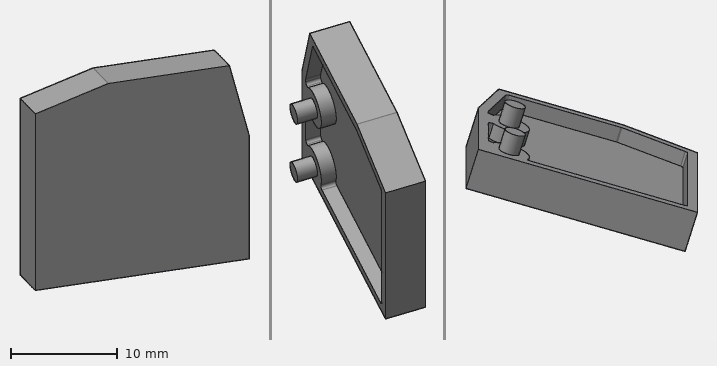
import cadquery as cq
import math

total_depth = 6.05
length = 21.5
height = 20.0
pin_length = 2.0
plate_thickness = total_depth - pin_length

corner_cut = 2.0
steep_slope_angle = math.radians(15)
steep_slope_height = corner_cut / math.tan(steep_slope_angle)
shallow_slope_length = 7.33

wall = 0.99
pocket_depth = 1.5
corner_radius = 0.3

pin_diameter = 2.0
boss_diameter = 2 * pin_diameter
boss_radius = boss_diameter / 2
web_half_height = 1.3
pin_y = length / 2 - 3.0
lower_pin_z = 2.1
pin_spacing = 8.28
pin_heights = [lower_pin_z, lower_pin_z + pin_spacing]


def plate_outline():
    """Closed outline with a steep slope at +Y and a shallow one at -Y."""
    return cq.Workplane("YZ").polyline([
        (-length / 2, 0),
        (length / 2, 0),
        (length / 2, height - steep_slope_height),
        (length / 2 - corner_cut, height),
        (-length / 2 + shallow_slope_length, height),
        (-length / 2, height - corner_cut),
    ]).close()


def web(bottom, top):
    """Block joining the +Y wall to the centre line of the bosses."""
    width = length / 2 - pin_y
    return cq.Workplane("XY").box(
        pocket_depth, width, top - bottom, centered=False
    ).translate((0, pin_y, bottom))


def discs(diameter, thickness):
    """Coaxial discs at both pin positions, starting at the plate face."""
    centres = [(pin_y, z) for z in pin_heights]
    return cq.Workplane("YZ").pushPoints(centres).circle(diameter / 2).extrude(thickness)


def pocket():
    """Recess volume, leaving the bosses and their webs standing."""
    recess = plate_outline().offset2D(-wall, "intersection").extrude(pocket_depth)
    lower_z, upper_z = pin_heights
    recess = recess.cut(web(0, lower_z + web_half_height))
    recess = recess.cut(web(upper_z - web_half_height, upper_z + web_half_height))
    recess = recess.edges("|X").fillet(corner_radius)
    recess = recess.cut(discs(boss_diameter, pocket_depth))

    boss_foot_y = pin_y - math.sqrt(boss_radius**2 - (lower_z - wall)**2)
    boss_foot = (pocket_depth / 2, boss_foot_y, wall)
    return recess.edges(cq.NearestToPointSelector(boss_foot)).fillet(corner_radius)


plate = plate_outline().extrude(plate_thickness)
pins = discs(pin_diameter, -pin_length)
result = plate.cut(pocket()).union(pins)